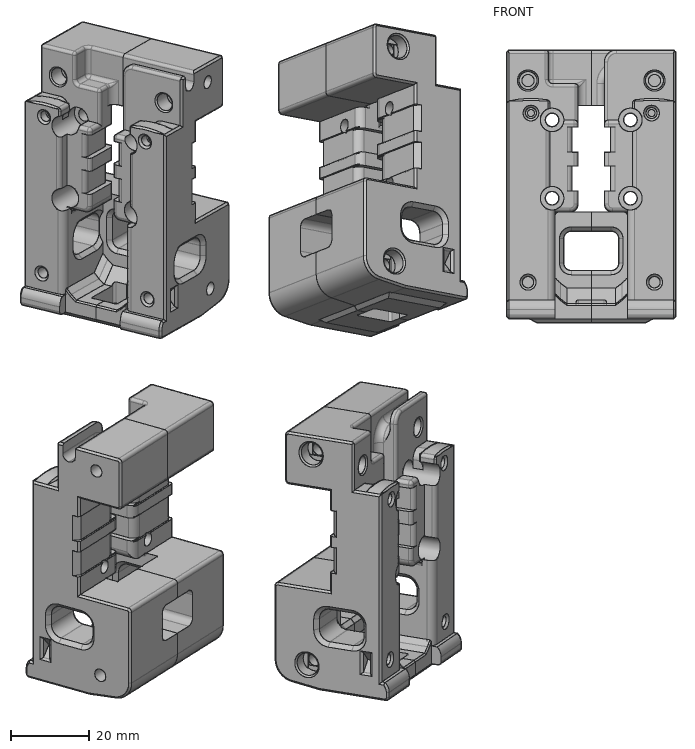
import cadquery as cq
import math


half_width = 21.6
height = 69.7
foot_front = -2.1
block_back = 30.3
head_back = 27.3
head_front = 7.7
head_bottom = 55.5
plate_back = 14.55
base_bottom = 1.05
foot_top = 5.9
foot_toe = 1.0
foot_round_start = 3.4
foot_round_end = -1.0
back_edge_round = 1.0
block_top = 28.35
rail_shoulder = 56.7
rail_crest = 57.35
rail_crest_inner = 56.85
outer_chamfer = 0.55
far = 100.0
back_curve_radius = 5.5
slope_back_z = 2.65
slope_front_y = 17.5

pad_front = 1.6
pad_back = 17.5
pad_half_width = 13.9
pad_flare_x = 1.9
pad_flare_y = 1.0

rail_inner = 10.5
channel_floor = 3.3
channel_bottom = 29.1
channel_round = 1.1
step_z = 51.8
crest_depth = 4.9
rail_corner = 1.0
rail_edge = 0.5
rail_back_edge = 0.5
rail_back_flat_end = 15.6
rail_back_inner = 13.0

slot_half = 3.35
slot_back = 13.35
slot_back_round = 2.0
slot_edge_round = 1.0
slot_corner = 2.05
notch_half = 4.87
notch_round = 1.15
rear_mouth_round = 2.0
notch_height = 6.35
notch_pitch = 9.92
rear_notch_depth = 0.5
rear_notch_chamfer = 1.5
rear_notch_height = 7.0

cavity_half = 9.24
cavity_front = 0.7
cavity_back = 18.0
cavity_mouth_round = 1.85
cavity_top_round = 1.0
floor_z = 4.9
floor_half = 6.2
floor_knee = (7.8, 6.1)
floor_wall_z = 7.5
ramp_run = 4.0
lip_chamfer = 0.4
floor_hole_half = 3.9
floor_hole_front = 4.4
floor_hole_back = 15.0
floor_hole_round = 0.7

window_chamfer = 1.1
back_window = (14.0, 10.0)
back_window_z = 18.4
back_window_round = 1.9
side_window = (12.7, 8.8)
side_window_center = (11.62, 18.7)
side_window_round = 3.0

pocket_width = 3.4
pocket_height = 6.4
pocket_center = (4.2, 10.4)
pocket_depth = 0.5
pocket_wedge_width = 1.9
pocket_wedge_height = 5.3
pocket_wedge_depth = 2.5

screw_spacing = 20.0
screw_center_z = 41.85
screw_diameter = 3.4
screw_head_diameter = 6.0
screw_head_floor = 10.5

insert_x = 16.15
insert_z = 61.9
insert_diameter = 4.6
insert_depth = 5.0
insert_tip_diameter = 3.1
insert_tip_depth = 8.0
pilot_x = 15.4
pilot_z = 53.6
pilot_diameter = 2.8
pilot_depth = 3.0
pilot_tip_diameter = 1.8
pilot_tip_depth = 6.0
base_hole_z = 10.4
base_hole_diameter = 2.9
base_hole_depth = 6.0
insert_chamfer = 0.4
pilot_chamfer = 0.6

clamp_upper = (19.8, 64.7)
clamp_lower = (21.0, 7.5)
clamp_head_depth = 4.0
clamp_head_chamfer = 0.45
bridge_layer = 0.3

head_edge_round = 0.85
head_pocket_side = 10.9
head_pocket_floor = 61.1
head_pocket_round = 1.1
wire_groove_front = 9.5
wire_groove_floor = 65.1
wire_groove_round = 1.9
wire_bend_radius = 3.95
tongue_corner = 3.1


def block(x0, x1, y0, y1, z0, z1):
    """Box between opposite corners."""
    return cq.Workplane("XY").box(x1 - x0, y1 - y0, z1 - z0, centered=False).translate((x0, y0, z0))


def along_y(outline, y0, y1):
    """Extrude an outline drawn in X, Z from y0 to y1."""
    return outline.extrude(y0 - y1).translate((0, y0, 0))


def mouthed_slot(half, front, back, mouth_round, z0, z1):
    """Slot cutter whose front edges open out in a convex round."""
    side = half + mouth_round
    inset = mouth_round * (1 - math.sqrt(0.5))
    section = (
        cq.Workplane("XY")
        .moveTo(-side, front - 1)
        .lineTo(-side, front)
        .threePointArc((-half - inset, front + inset), (-half, front + mouth_round))
        .lineTo(-half, back)
        .lineTo(half, back)
        .lineTo(half, front + mouth_round)
        .threePointArc((half + inset, front + inset), (side, front))
        .lineTo(side, front - 1)
        .close()
    )
    return section.extrude(z1 - z0).translate((0, 0, z0))


def front_hole(x, z, face_y, diameter, depth, chamfer):
    """Chamfered blind hole in a face that looks toward -Y."""
    bore = cq.Workplane("XZ").center(x, z).circle(diameter / 2).extrude(-depth)
    radius = diameter / 2 + chamfer
    mouth = cq.Workplane(cq.Solid.makeCone(
        radius, diameter / 2, chamfer, cq.Vector(x, 0, z), cq.Vector(0, 1, 0)))
    return bore.union(mouth).translate((0, face_y, 0))


def flared_window(size, corner, inset):
    """Rounded rectangle in local XY that widens by `inset` over a height of `inset`."""
    wide = cq.Sketch().rect(size[0] + 2 * inset, size[1] + 2 * inset).vertices().fillet(corner + inset)
    narrow = cq.Sketch().rect(*size).vertices().fillet(corner)
    return (
        cq.Workplane("XY").placeSketch(wide, narrow.moved(cq.Location(cq.Vector(0, 0, inset)))).loft()
    )


def outer_shell():
    """Side profile of the left half with its outer edges chamfered."""
    profile = (
        cq.Workplane("YZ")
        .moveTo(slope_front_y, base_bottom)
        .lineTo(foot_front + foot_toe, base_bottom)
        .tangentArcPoint((foot_front, base_bottom + foot_toe), relative=False)
        .lineTo(foot_front, foot_round_start)
        .tangentArcPoint((foot_round_end, foot_top), relative=False)
        .lineTo(0, foot_top)
        .lineTo(0, rail_shoulder)
        .lineTo(head_front, rail_shoulder)
        .lineTo(head_front, height)
        .lineTo(head_back, height)
        .lineTo(head_back, head_bottom)
        .lineTo(plate_back, head_bottom)
        .lineTo(plate_back, block_top)
        .lineTo(block_back, block_top)
        .lineTo(block_back, slope_back_z)
        .close()
        .extrude(half_width)
        .translate((-half_width, 0, 0))
    )
    heel = cq.selectors.BoxSelector(
        (-far, block_back - 0.1, slope_back_z - 0.1), (far, block_back + 0.1, slope_back_z + 0.1))
    profile = profile.edges(heel).fillet(back_curve_radius)
    for y, z in ((head_back, height), (head_back, head_bottom), (block_back, block_top)):
        corner = cq.selectors.BoxSelector((-far, y - 0.1, z - 0.1), (far, y + 0.1, z + 0.1))
        profile = profile.edges(corner).fillet(back_edge_round)
    return profile.faces("<X").chamfer(outer_chamfer)


def rail_crest_body():
    """Arched front part of the rail top, with a rounded inner corner."""
    outline = (
        cq.Workplane("XZ")
        .moveTo(-half_width + outer_chamfer, step_z)
        .lineTo(-half_width + outer_chamfer, rail_shoulder)
        .threePointArc((-pilot_x, rail_crest), (-rail_inner, rail_crest_inner))
        .lineTo(-rail_inner, step_z)
        .close()
    )
    crest = along_y(outline, 0, crest_depth)
    crest = crest.faces(">X").edges(">Z").fillet(rail_corner)
    crest = crest.faces("<Y").edges("not (<X or <Z)").chamfer(rail_edge)
    return crest.faces(">Y").edges("not (<X or <Z)").chamfer(rail_back_edge)


def base_pad():
    """Shallow pad under the base, flared toward the base."""
    length = pad_back - pad_front
    pad = (
        cq.Workplane("XY")
        .rect(2 * pad_half_width, length)
        .workplane(offset=base_bottom)
        .rect(2 * (pad_half_width + pad_flare_x), length + 2 * pad_flare_y)
        .loft()
        .translate((0, (pad_front + pad_back) / 2, 0))
    )
    return pad.intersect(block(-half_width, 0, 0, block_back, 0, base_bottom))


def cavity():
    """Lower cavity: a trough with bevelled sides that climbs a ramp to its back wall."""
    def trough():
        return (
            cq.Workplane("XZ")
            .moveTo(-cavity_half, floor_wall_z)
            .lineTo(-floor_knee[0], floor_knee[1])
            .lineTo(-floor_half, floor_z)
            .lineTo(floor_half, floor_z)
            .lineTo(floor_knee[0], floor_knee[1])
            .lineTo(cavity_half, floor_wall_z)
            .lineTo(cavity_half, block_top - cavity_top_round)
            .tangentArcPoint((cavity_half - cavity_top_round, block_top), relative=False)
            .lineTo(cavity_top_round - cavity_half, block_top)
            .tangentArcPoint((-cavity_half, block_top - cavity_top_round), relative=False)
            .close()
        )

    def climb(y, z, rise):
        wire = trough().wires().val().translate(cq.Vector(0, y, z))
        return cq.Workplane(cq.Solid.extrudeLinear(wire, [], cq.Vector(0, rise, rise)))

    ramp_start = cavity_back - ramp_run
    lip = climb(cavity_front, -lip_chamfer, lip_chamfer)
    level = along_y(trough(), foot_front, ramp_start)
    ramp = climb(ramp_start, 0, ramp_run)
    ramp = ramp.intersect(block(-far, far, 0, far, 0, block_top))
    return level.union(lip).union(ramp)


def rail_back_relief():
    """Cutter that steps back and rounds the rail top behind its crest."""
    radius = rail_back_flat_end - rail_back_inner
    outline = (
        cq.Workplane("XZ")
        .moveTo(0, step_z)
        .lineTo(-rail_back_inner, step_z)
        .lineTo(-rail_back_inner, rail_shoulder - radius)
        .tangentArcPoint((-rail_back_flat_end, rail_shoulder), relative=False)
        .lineTo(0, rail_shoulder)
        .close()
    )
    return along_y(outline, crest_depth, head_front)


def slot_plate():
    """Plate beside the centre slot, rounded along its front edges and its lower corner."""
    lower_corner = ">X and <Z"
    front = block(-rail_inner, -slot_half, channel_floor, head_front, block_top, step_z)
    front = front.edges(lower_corner).fillet(slot_corner)
    front = front.edges("(<Y and (not <X)) or (>X and >Z)").fillet(slot_edge_round)
    back = block(-rail_inner, -slot_half, head_front, plate_back, block_top, step_z)
    return front.union(back.edges(lower_corner).fillet(slot_corner))


def cut_front(body):
    """Open the channel, cavity and slot between the rails."""
    body = body.cut(block(-cavity_half, cavity_half, 2 * foot_front, cavity_front, 0, block_top))
    body = body.cut(cavity())
    mouth = mouthed_slot(cavity_half, 0, channel_floor, cavity_mouth_round, foot_top, channel_bottom)
    body = body.cut(mouth.cut(block(-cavity_half, cavity_half, 0, channel_floor, 0, floor_wall_z)))
    body = body.cut(mouthed_slot(rail_inner, 0, channel_floor, channel_round, channel_bottom, step_z))
    body = body.cut(block(-rail_inner, 0, foot_front, head_front, step_z, height))
    body = body.cut(block(-rail_inner - rail_edge, 0, foot_front, crest_depth, step_z, height))
    body = body.cut(rail_back_relief())
    body = body.cut(block(-rail_inner, 0, channel_floor, plate_back, block_top, step_z))
    body = body.cut(block(-slot_half, 0, 0, plate_back, block_top, head_bottom))
    return body.union(slot_plate())


def cut_notches(body):
    """Two wide notches in the slot, each with a shallow notch across the plate's back."""
    def cut_rear_mouth(part, half, rear, z0, z1):
        mouth = mouthed_slot(half, -rear, -channel_floor, rear_mouth_round, z0, z1)
        return part.cut(mouth.mirror("XZ"))

    body = cut_rear_mouth(body, slot_half, plate_back, block_top, head_bottom)
    for side in (-0.5, 0.5):
        z = screw_center_z + side * notch_pitch
        z_range = (z - notch_height / 2, z + notch_height / 2)
        floor_y = plate_back - rear_notch_depth
        body = body.cut(mouthed_slot(notch_half, channel_floor, plate_back, notch_round, *z_range))
        body = cut_rear_mouth(body, notch_half, floor_y, *z_range)
        section = (
            cq.Workplane("XY")
            .moveTo(-half_width, plate_back)
            .lineTo(-half_width, floor_y - rear_notch_chamfer)
            .lineTo(-half_width + rear_notch_chamfer, floor_y)
            .lineTo(0, floor_y)
            .lineTo(0, plate_back)
            .close()
        )
        bottom = z - rear_notch_height / 2
        body = body.cut(section.extrude(rear_notch_height).translate((0, 0, bottom)))
    return body


def cut_windows(body):
    """Window through the back wall and through the side wall of the cavity."""
    through = cq.Workplane("XY").placeSketch(
        cq.Sketch().rect(*back_window).vertices().fillet(back_window_round)).extrude(far)
    back = through.union(flared_window(back_window, back_window_round, window_chamfer))
    back = back.rotate((0, 0, 0), (1, 0, 0), -90).translate((0, cavity_back, back_window_z))
    body = body.cut(back)

    def in_side_wall(tool):
        turned = tool.rotate((0, 0, 0), (0, 0, 1), 90).rotate((0, 0, 0), (0, 1, 0), 90)
        return turned.translate((-half_width, side_window_center[0], side_window_center[1]))

    side = cq.Workplane("XY").placeSketch(
        cq.Sketch().rect(*side_window).vertices().fillet(side_window_round)).extrude(half_width)
    flare = flared_window(side_window, side_window_round, window_chamfer)
    inner_flare = in_side_wall(flare.mirror("XY").translate((0, 0, half_width - cavity_half)))
    inner_flare = inner_flare.intersect(block(-far, far, 0, cavity_back, 0, height))
    return body.cut(in_side_wall(side)).cut(in_side_wall(flare)).cut(inner_flare)


def cut_base(body):
    """Rectangular hole through the cavity floor and the small pocket in the side."""
    hole = block(-floor_hole_half, floor_hole_half, floor_hole_front, floor_hole_back, -1, 12)
    body = body.cut(hole.edges("|Z").fillet(floor_hole_round))
    y, z = pocket_center
    mouth = (
        cq.Workplane("YZ", origin=(-half_width, y, z))
        .rect(pocket_width, pocket_height)
        .workplane(offset=pocket_depth)
        .rect(pocket_wedge_width, pocket_wedge_height)
        .loft()
    )
    wedge_start = -half_width + pocket_depth
    wedge = (
        cq.Workplane("XZ")
        .moveTo(wedge_start, z - pocket_wedge_height / 2)
        .lineTo(wedge_start + pocket_wedge_depth, z)
        .lineTo(wedge_start, z + pocket_wedge_height / 2)
        .close()
    )
    wedge = along_y(wedge, y - pocket_wedge_width / 2, y + pocket_wedge_width / 2)
    return body.cut(mouth).cut(wedge)


def cut_front_holes(body):
    """Carriage screws, heat-set insert, pilot hole and base hole of one half."""
    for side in (-0.5, 0.5):
        place = cq.Workplane("XZ").center(-screw_spacing / 2, screw_center_z + side * screw_spacing)
        body = body.cut(place.circle(screw_diameter / 2).extrude(-plate_back))
        head = place.circle(screw_head_diameter / 2).extrude(-(screw_head_floor - foot_front))
        body = body.cut(head.translate((0, foot_front, 0)))
    body = body.cut(front_hole(
        -insert_x, insert_z, head_front, insert_diameter, insert_depth, insert_chamfer))
    tip = cq.Workplane("XZ").center(-insert_x, insert_z).circle(insert_tip_diameter / 2)
    body = body.cut(tip.extrude(-insert_tip_depth).translate((0, head_front, 0)))
    body = body.cut(front_hole(-pilot_x, pilot_z, 0, pilot_diameter, pilot_depth, pilot_chamfer))
    tip = cq.Workplane("XZ").center(-pilot_x, pilot_z).circle(pilot_tip_diameter / 2)
    body = body.cut(tip.extrude(-pilot_tip_depth))
    return body.cut(front_hole(
        -insert_x, base_hole_z, 0, base_hole_diameter, base_hole_depth, pilot_chamfer))


def frame_half(head_cutter):
    """One half built on the -X side, with its own cutter for the front of the head."""
    body = outer_shell()
    body = cut_front(body)
    body = body.cut(head_cutter)
    body = body.edges(head_rim_edges()).fillet(head_edge_round)
    body = cut_notches(body)
    body = body.union(rail_crest_body())
    body = body.union(base_pad())
    body = cut_windows(body)
    body = cut_base(body)
    body = cut_front_holes(body)
    for y, z in (clamp_upper, clamp_lower):
        body = body.cut(cq.Workplane("YZ").center(y, z).circle(screw_diameter / 2).extrude(-half_width))
    return body


def head_rim_edges():
    """Selects the head's front edges above the step and its top edges around the front opening."""
    def centers_in(y0, y1, z0, z1, margin):
        return cq.selectors.BoxSelector((margin - half_width, y0, z0), (0, y1, z1))
    tiny = 0.05
    front = centers_in(head_front - tiny, head_front + tiny, rail_shoulder + tiny, height + tiny, 1)
    slot_side = cq.selectors.BoxSelector(
        (-slot_half - tiny, head_front - tiny, step_z + tiny),
        (-slot_half + tiny, head_front + tiny, height))
    top = centers_in(wire_groove_front + tiny, slot_back + tiny, height - tiny, height + tiny, 0)
    pocket_lip = cq.selectors.BoxSelector(
        (-slot_half - tiny, head_front + tiny, head_pocket_floor - tiny),
        (-slot_half + tiny, slot_back, head_pocket_floor + tiny))
    return front + slot_side + top + pocket_lip


def left_head_cutter():
    """Corner pocket of the left head above the wire slot."""
    slot = block(-slot_half, slot_half, 0, slot_back, step_z, height + 5)
    slot = slot.edges(">Y and |Z").fillet(slot_back_round)
    pocket = block(-head_pocket_side, 5, 0, slot_back, head_pocket_floor, height + 5)
    pocket = pocket.edges("(>Y and <X) or (>Y and <Z) or (<X and <Z)").fillet(head_pocket_round)
    return slot.union(pocket)


def right_head_cutter():
    """Wire groove that bends out of the slot and leaves through the side, mirrored to -X."""
    slope = math.sqrt(0.5)
    bend_x = slot_half + wire_bend_radius
    bend_z = wire_groove_floor - wire_bend_radius
    groove = (
        cq.Workplane("XZ")
        .moveTo(-5, step_z)
        .lineTo(slot_half, step_z)
        .lineTo(slot_half, bend_z)
        .threePointArc(
            (bend_x - wire_bend_radius * slope, bend_z + wire_bend_radius * slope),
            (bend_x, wire_groove_floor))
        .lineTo(far, wire_groove_floor)
        .lineTo(far, height + 5)
        .lineTo(-5, height + 5)
        .close()
    )
    groove = along_y(groove, wire_groove_front, slot_back)
    for y in (wire_groove_front, slot_back):
        wall_edges = cq.selectors.BoxSelector(
            (slot_half - 0.1, y - 0.1, step_z + 1), (far - 1, y + 0.1, height))
        groove = groove.edges(wall_edges).fillet(wire_groove_round)
    corner_x = slot_half + tongue_corner
    corner_z = height - tongue_corner
    gap = (
        cq.Workplane("XZ")
        .moveTo(-5, step_z)
        .lineTo(slot_half, step_z)
        .lineTo(slot_half, corner_z)
        .threePointArc(
            (corner_x - tongue_corner * slope, corner_z + tongue_corner * slope), (corner_x, height))
        .lineTo(-5, height)
        .close()
    )
    return groove.union(along_y(gap, 0, wire_groove_front + wire_groove_round)).mirror("YZ")


def cut_clamp_head(body, y, z, quarter_turn):
    """Counterbore for a clamp screw, with two stepped bridging layers under the head."""
    radius = screw_head_diameter / 2
    head = cq.Workplane("XY").circle(radius).extrude(clamp_head_depth)
    head = head.union(cq.Workplane(cq.Solid.makeCone(
        radius + clamp_head_chamfer, radius, clamp_head_chamfer)))
    strip = cq.Workplane("XY").circle(radius).extrude(clamp_head_depth + bridge_layer)
    strip = strip.intersect(cq.Workplane("XY").rect(screw_diameter, far).extrude(far))
    square = cq.Workplane("XY").rect(screw_diameter, screw_diameter)
    tool = head.union(strip).union(square.extrude(clamp_head_depth + 2 * bridge_layer))
    tool = tool.rotate((0, 0, 0), (0, 0, 1), quarter_turn).rotate((0, 0, 0), (0, 1, 0), 90)
    return body.cut(tool.translate((-half_width, y, z)))


left_frame = frame_half(left_head_cutter())
left_frame = cut_clamp_head(left_frame, *clamp_upper, 0)
left_frame = cut_clamp_head(left_frame, *clamp_lower, 90)

right_frame = frame_half(right_head_cutter()).mirror("YZ")

result = cq.Compound.makeCompound([left_frame.val(), right_frame.val()])